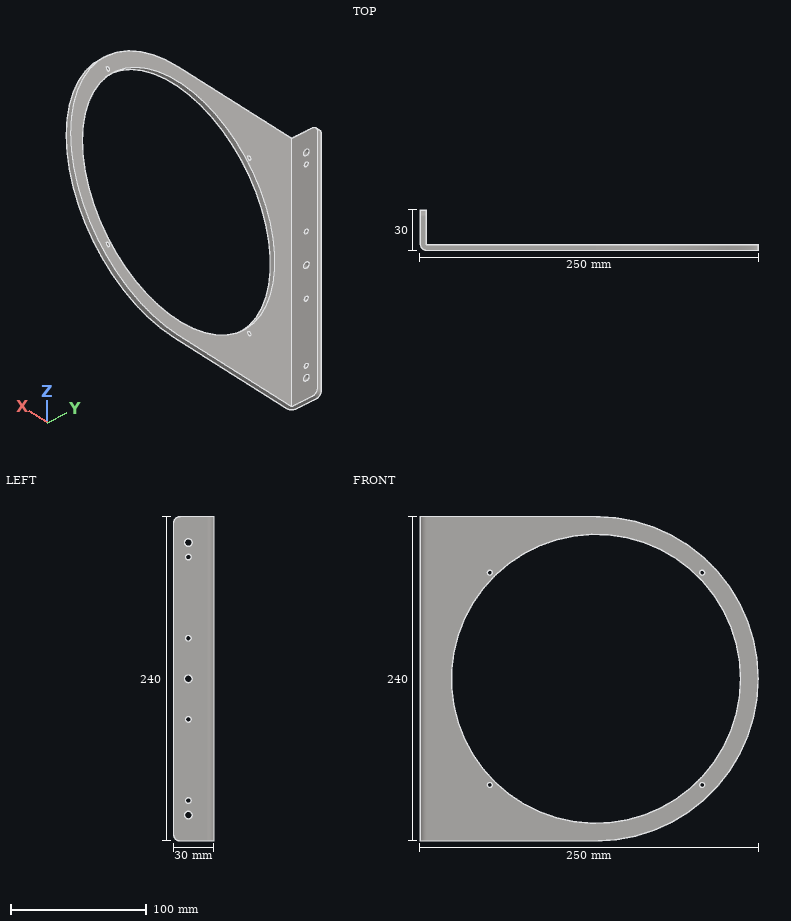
import cadquery as cq
import math

length = 250.0
flange_depth = 30.0
height = 240.0
thickness = 4.5

end_radius = height / 2
ring_center_x = length - end_radius
opening_diameter = 213.5

ring_hole_diameter = 3.5
ring_hole_circle_radius = 111.0
ring_hole_offset = ring_hole_circle_radius * math.sqrt(0.5)

bend_radius = 5.0
flange_corner_radius = 5.0
flange_hole_y = 19.0
large_hole_diameter = 5.5
small_hole_diameter = 4.0
outer_large_hole_z = 100.8
small_hole_spacing = 30.0
large_hole_heights = [-outer_large_hole_z, 0, outer_large_hole_z]
small_hole_heights = [n * small_hole_spacing for n in (-3, -1, 1, 3)]


def make_plate():
    """Upright D-shaped plate; its outer face lies on Y = 0."""
    return (
        cq.Workplane("XZ")
        .moveTo(0, -end_radius)
        .lineTo(ring_center_x, -end_radius)
        .threePointArc((length, 0), (ring_center_x, end_radius))
        .lineTo(0, end_radius)
        .close()
        .extrude(-thickness)
    )


def make_flange():
    """Flange along the straight side, with its free corners rounded."""
    return (
        cq.Workplane("XY")
        .box(thickness, flange_depth, height, centered=(False, False, True))
        .edges("|X and >Y")
        .fillet(flange_corner_radius)
    )


def plate_cutter(points, diameter):
    """Cylinders through the plate at (x, z) points."""
    return cq.Workplane("XZ").pushPoints(points).circle(diameter / 2).extrude(-thickness)


def flange_cutter(heights, diameter):
    """Cylinders through the flange at the given heights."""
    points = [(flange_hole_y, z) for z in heights]
    return cq.Workplane("YZ").pushPoints(points).circle(diameter / 2).extrude(thickness)


body = make_plate().union(make_flange())
body = body.edges("|Z and <X and <Y").fillet(bend_radius)

ring_hole_points = [
    (ring_center_x + side_x * ring_hole_offset, side_z * ring_hole_offset)
    for side_x in (-1, 1)
    for side_z in (-1, 1)
]
body = body.cut(plate_cutter([(ring_center_x, 0)], opening_diameter))
body = body.cut(plate_cutter(ring_hole_points, ring_hole_diameter))

body = body.cut(flange_cutter(large_hole_heights, large_hole_diameter))
body = body.cut(flange_cutter(small_hole_heights, small_hole_diameter))

result = body